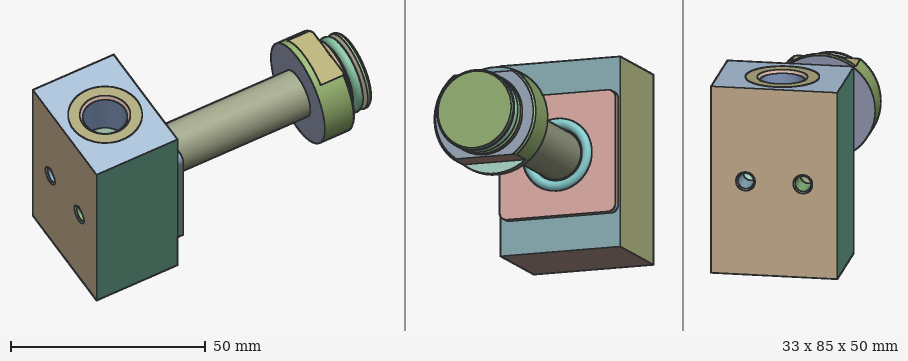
import cadquery as cq


block_width = 33.0
block_depth = 24.0
block_height = 50.0

plate_side = 32.0
plate_thickness = 2.0
plate_corner_radius = 2.0

tube_diameter = 13.0
root_ring_diameter = 19.0
ring_section_radius = 1.4

overall_length = 85.0
flange_diameter = 28.0
flange_length = 9.0
flange_chamfer = 0.5
flange_rim = 1.9
across_flats = 22.0

spigot_diameter = 21.0
spigot_length = 7.0
spigot_chamfer_length = 0.5
spigot_chamfer_height = 0.4
groove_tip_land = 1.3
groove_width = 4.3
groove_depth = 1.7
groove_wall_lean = 1.0

port_diameter = 11.5
port_mouth_diameter = 13.0
port_depth = 12.0
spot_face_diameter = 19.0
spot_face_depth = 0.1
port_y = block_depth / 2

hole_diameter = 4.2
hole_mouth_diameter = 5.0
hole_depth = 8.0
hole_tip_depth = 1.2
hole_spacing = 15.0

plate_end = block_depth + plate_thickness
spigot_start = overall_length - spigot_length
flange_start = spigot_start - flange_length


def rod(diameter, start, length):
    """Cylinder on the tube axis, growing toward +Y from the given station."""
    plane = cq.Workplane("XZ", origin=(0, start, 0))
    return plane.circle(diameter / 2).extrude(-length)


def make_block():
    block = cq.Workplane("XY").box(block_width, block_depth, block_height, centered=(True, False, True))
    plate = (
        cq.Workplane("XY", origin=(0, block_depth, 0))
        .box(plate_side, plate_thickness, plate_side, centered=(True, False, True))
        .edges("|Y")
        .fillet(plate_corner_radius)
    )
    return block.union(plate)


def sealing_ring(outer_diameter, y):
    """Round-section ring about the tube axis, centred on the given station."""
    centre_radius = outer_diameter / 2 - ring_section_radius
    return (
        cq.Workplane("XY")
        .moveTo(-centre_radius, y)
        .circle(ring_section_radius)
        .revolve(360, (0, 0, 0), (0, 1, 0))
    )


def make_tube():
    tube = rod(tube_diameter, plate_end, flange_start - plate_end)
    return tube.union(sealing_ring(root_ring_diameter, plate_end))


def make_flange():
    flange = rod(flange_diameter, flange_start, flange_length).faces(">Y").chamfer(flange_chamfer)
    flats = cq.Workplane("XY", origin=(0, flange_start + flange_rim, 0)).box(
        flange_diameter, flange_length, across_flats, centered=(True, False, True)
    )
    rim = rod(flange_diameter, flange_start, flange_rim)
    return flange.intersect(flats.union(rim))


def make_spigot():
    """Spigot with a leaning-walled groove that holds a sealing ring."""
    radius = spigot_diameter / 2
    groove_end = overall_length - groove_tip_land
    groove_start = groove_end - groove_width
    body = (
        cq.Workplane("XY")
        .moveTo(0, spigot_start)
        .lineTo(radius, spigot_start)
        .lineTo(radius, groove_start)
        .lineTo(radius - groove_depth, groove_start + groove_wall_lean)
        .lineTo(radius - groove_depth, groove_end - groove_wall_lean)
        .lineTo(radius, groove_end)
        .lineTo(radius, overall_length - spigot_chamfer_length)
        .lineTo(radius - spigot_chamfer_height, overall_length)
        .lineTo(0, overall_length)
        .close()
        .revolve(360, (0, 0, 0), (0, 1, 0))
    )
    return body.union(sealing_ring(spigot_diameter, groove_end - groove_width / 2))


def make_port():
    """Blind bore with a 45 degree countersunk mouth in a shallow spot face."""
    mouth = (port_mouth_diameter - port_diameter) / 2
    top = cq.Workplane("XY", origin=(0, port_y, block_height / 2))
    spot_face = top.circle(spot_face_diameter / 2).extrude(-spot_face_depth)
    floor = top.workplane(offset=-spot_face_depth)
    bore = top.circle(port_diameter / 2).extrude(-port_depth)
    countersink = floor.circle(port_mouth_diameter / 2).extrude(-mouth, taper=45)
    return spot_face.union(bore).union(countersink)


def make_mounting_hole(x):
    """Drilled hole with a 45 degree countersunk mouth and a conical tip."""
    radius = hole_diameter / 2
    mouth_radius = hole_mouth_diameter / 2
    return (
        cq.Workplane("XY", origin=(x, 0, 0))
        .lineTo(mouth_radius, 0)
        .lineTo(radius, mouth_radius - radius)
        .lineTo(radius, hole_depth)
        .lineTo(0, hole_depth + hole_tip_depth)
        .close()
        .revolve(360, (0, 0, 0), (0, 1, 0))
    )


result = make_block().union(make_tube()).union(make_flange()).union(make_spigot())
result = result.cut(make_port())
for side in (-1, 1):
    result = result.cut(make_mounting_hole(side * hole_spacing / 2))